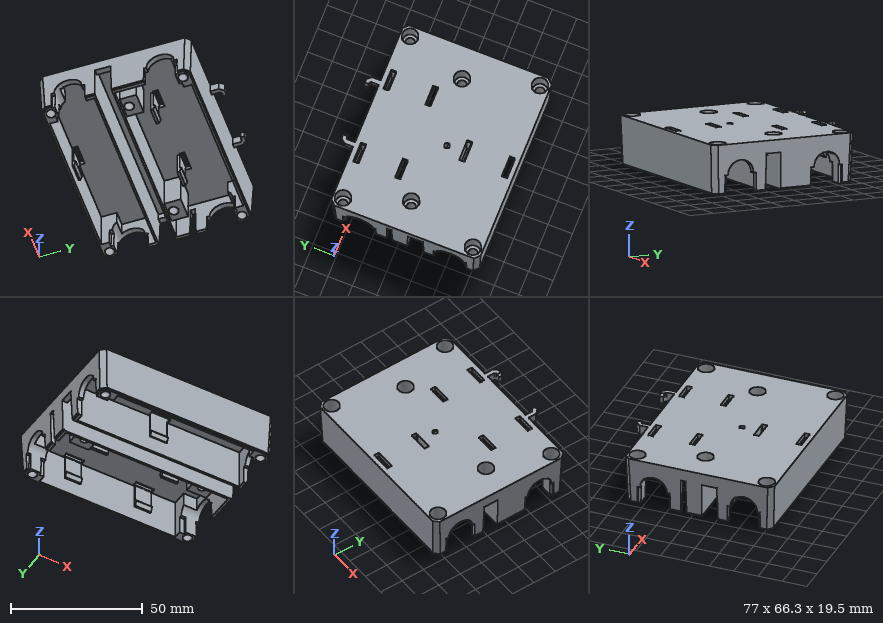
import cadquery as cq
import math

LENGTH = 77.0
WIDTH = 61.0
HEIGHT = 19.5
CORNER_CUT = 2.0
SIDE_DRAFT = 2.0
END_WALL = 1.8
SIDE_WALL = 1.4
PLATE = 2.0
LIP_HEIGHT = 0.5
LIP_STEP = 0.5
RIM_HEIGHT = HEIGHT - LIP_HEIGHT
RIM_INSET = RIM_HEIGHT * math.tan(math.radians(SIDE_DRAFT))
LIP_LENGTH = LENGTH - 2 * (RIM_INSET + LIP_STEP)
LIP_WIDTH = WIDTH - 2 * (RIM_INSET + LIP_STEP)
CAVITY_LENGTH = LENGTH - 2 * (RIM_INSET + END_WALL)
CAVITY_WIDTH = WIDTH - 2 * (RIM_INSET + SIDE_WALL)
CAVITY_TOP = HEIGHT - PLATE

CORNER_HOLE_INSET = 4.0
CORNER_HOLE_X = LENGTH / 2 - CORNER_HOLE_INSET
CORNER_HOLE_Y = WIDTH / 2 - CORNER_HOLE_INSET
MIDDLE_HOLE_X = 26.1
MIDDLE_HOLE_Y = 2.0
MIDDLE_BOSS_BOTTOM = 3.0
BOSS_HALF = 4.3
SCREW_DIAMETER = 3.7
HEAD_DIAMETER = 6.3
HEAD_DEPTH = 8.0

OPENING_DRAFT = math.tan(math.radians(1.0))
CABLE_Y = 18.5
CABLE_RADIUS = 5.5
CABLE_CENTRE_Z = 7.5
CABLE_STEP = 1.15
STEP_DEPTH = 1.0
NECK_END = 6.3
WINDOW_TOP = 14.5
CHANNEL_Y = -4.45
CHANNEL_WIDTH = 6.2
RIB = 1.0
SLIT_Y = 6.25
SLIT_WIDTH = 1.9

SLOT_WIDTH = 2.05
UPPER_SLOT_X = 15.55
UPPER_SLOT_LENGTH = 8.0
UPPER_PAIR_Y = 18.7
LOWER_SLOT_LENGTH = 8.4
LOWER_PAIR_Y = -18.6
LOWER_PAIR_SPACING = 17.4
UPPER_PAIR_SPACING = 17.1
CLIP_SIDE_GAP = 0.5
CLIP_THICKNESS = 1.0
CLIP_BOTTOM = 7.0
BARB_REACH = 0.8
BARB_TOP = 10.0
BARB_TIP_Z = 9.0
WALL_ARM_STEP = 0.45

MARK_X = -0.6
MARK_Y = -2.5
MARK_DIAMETER = 2.1
MARK_DEPTH = 1.5
MARK_EDGE_DEPTH = 0.5

HOOK_REACH = 5.31
HOOK_OUTER_X = 14.2
HOOK_THICKNESS = 2.0
HOOK_TIP_X = 10.1
HOOK_HEIGHT = 4.0
HOOK_CUT_X = 1.5
HOOK_CUT_Y = 1.9
HOOK_INNER_CUT = 0.5
HOOK_TIP_DEPTH = 1.75
HOOK_TIP_BEVEL = 1.0
HOOK_ROOT = 1.0


def box(x_min, x_max, y_min, y_max, z_min, z_max):
    return cq.Workplane("XY").box(
        x_max - x_min, y_max - y_min, z_max - z_min, centered=False
    ).translate((x_min, y_min, z_min))


def cut_corner_outline(length, width, z):
    half_x = length / 2
    half_y = width / 2
    points = [
        (half_x, half_y - CORNER_CUT),
        (half_x - CORNER_CUT, half_y),
        (CORNER_CUT - half_x, half_y),
        (-half_x, half_y - CORNER_CUT),
        (-half_x, CORNER_CUT - half_y),
        (CORNER_CUT - half_x, -half_y),
        (half_x - CORNER_CUT, -half_y),
        (half_x, CORNER_CUT - half_y),
    ]
    return cq.Workplane("XY").workplane(offset=z).polyline(points).close()


def make_envelope():
    rim = cut_corner_outline(LENGTH - 2 * RIM_INSET, WIDTH - 2 * RIM_INSET, LIP_HEIGHT)
    top = cut_corner_outline(LENGTH, WIDTH, HEIGHT)
    body = cq.Workplane(cq.Solid.makeLoft([rim.wire().val(), top.wire().val()], True))
    lip = cut_corner_outline(LIP_LENGTH, LIP_WIDTH, 0).extrude(2 * LIP_HEIGHT)
    return body.union(lip)


def drafted_opening(centre_y, top_width, top_z, x_min, x_max):
    """Opening along X, open at the bottom and slightly wider there."""
    half_top = top_width / 2
    half_bottom = half_top + top_z * OPENING_DRAFT
    profile = [
        (centre_y - half_bottom, 0),
        (centre_y - half_top, top_z),
        (centre_y + half_top, top_z),
        (centre_y + half_bottom, 0),
    ]
    return cq.Workplane("YZ").workplane(offset=x_min).polyline(profile).close().extrude(x_max - x_min)


def cable_opening(centre_y):
    """Round-topped passage with a wider pocket outside and inside its neck."""
    half = LENGTH / 2
    arch = (
        cq.Workplane("YZ").workplane(offset=-half)
        .center(centre_y, CABLE_CENTRE_Z).circle(CABLE_RADIUS).extrude(LENGTH)
    )
    passage = drafted_opening(centre_y, 2 * CABLE_RADIUS, CABLE_CENTRE_Z, -half, half)
    wide = 2 * (CABLE_RADIUS + CABLE_STEP)
    pocket_depth = RIM_INSET + STEP_DEPTH
    opening = arch.union(passage)
    for x_min, x_max in (
        (-half, pocket_depth - half),
        (NECK_END - half, half - NECK_END),
        (half - pocket_depth, half),
    ):
        opening = opening.union(drafted_opening(centre_y, wide, CABLE_CENTRE_Z, x_min, x_max))
    half_wide = box(-half, half, min(0, centre_y), max(0, centre_y), 0, CABLE_CENTRE_Z)
    return opening.union(drafted_opening(centre_y, wide, CABLE_CENTRE_Z, -half, half).intersect(half_wide))


def boss(x, y, bottom):
    return box(x - BOSS_HALF, x + BOSS_HALF, y - BOSS_HALF, y + BOSS_HALF, bottom, HEIGHT)


def make_clip(x, slot_y, slot_length, inward, arm_step):
    """Arm hanging from the outer edge of a slot, with its barb toward the slot."""
    slot_edge_y = slot_y - inward * SLOT_WIDTH / 2
    back_y = slot_edge_y - inward * CLIP_THICKNESS
    front_y = slot_edge_y + inward * arm_step
    tip_y = front_y + inward * BARB_REACH
    width = slot_length - 2 * CLIP_SIDE_GAP
    profile = [
        (back_y, CAVITY_TOP),
        (front_y, CAVITY_TOP),
        (front_y, BARB_TOP),
        (tip_y, BARB_TIP_Z),
        (front_y, CLIP_BOTTOM),
        (back_y, CLIP_BOTTOM),
    ]
    return cq.Workplane("YZ").workplane(offset=x - width / 2).polyline(profile).close().extrude(width)


def make_hook(side):
    back = WIDTH / 2
    tip_y = back + HOOK_REACH
    inner_x = HOOK_OUTER_X - HOOK_THICKNESS
    under_y = tip_y - HOOK_TIP_DEPTH
    points = [
        (HOOK_OUTER_X, back - HOOK_ROOT),
        (HOOK_OUTER_X, tip_y - HOOK_CUT_Y),
        (HOOK_OUTER_X - HOOK_CUT_X, tip_y),
        (HOOK_TIP_X, tip_y),
        (HOOK_TIP_X, under_y),
        (inner_x - HOOK_INNER_CUT, under_y),
        (inner_x, under_y - HOOK_INNER_CUT),
        (inner_x, back - HOOK_ROOT),
    ]
    hook = (
        cq.Workplane("XY").workplane(offset=HEIGHT).polyline(points).close()
        .extrude(-HOOK_HEIGHT, taper=SIDE_DRAFT)
    )
    bevel = (
        cq.Workplane("XZ").workplane(offset=-tip_y)
        .polyline([
            (HOOK_TIP_X, HEIGHT),
            (HOOK_TIP_X + HOOK_TIP_BEVEL, HEIGHT),
            (HOOK_TIP_X, HEIGHT - HOOK_TIP_BEVEL),
        ]).close().extrude(HOOK_TIP_DEPTH)
    )
    hook = hook.cut(bevel)
    if side < 0:
        hook = hook.mirror("YZ")
    return hook


def make_mark():
    half = MARK_DIAMETER / 2
    hole = (
        cq.Workplane("XY").workplane(offset=HEIGHT - MARK_DEPTH)
        .center(MARK_X, MARK_Y).circle(half).extrude(MARK_DEPTH)
    )
    edge_z = HEIGHT - MARK_EDGE_DEPTH
    vee = (
        cq.Workplane("YZ").workplane(offset=MARK_X - half)
        .polyline([
            (MARK_Y - half, HEIGHT),
            (MARK_Y - half, edge_z),
            (MARK_Y, HEIGHT - MARK_DEPTH),
            (MARK_Y + half, edge_z),
            (MARK_Y + half, HEIGHT),
        ]).close().extrude(MARK_DIAMETER)
    )
    return hole.intersect(vee)


corner_holes = [(sx * CORNER_HOLE_X, sy * CORNER_HOLE_Y) for sx in (-1, 1) for sy in (-1, 1)]
middle_holes = [(side * MIDDLE_HOLE_X, MIDDLE_HOLE_Y) for side in (-1, 1)]
slots = []
for direction, upper_step, lower_step in ((-1, WALL_ARM_STEP, 0), (1, 0, WALL_ARM_STEP)):
    upper_y = UPPER_PAIR_Y - direction * UPPER_PAIR_SPACING / 2
    lower_y = LOWER_PAIR_Y - direction * LOWER_PAIR_SPACING / 2
    for slot_x in (-UPPER_SLOT_X, UPPER_SLOT_X):
        slots.append((slot_x, upper_y, UPPER_SLOT_LENGTH, direction, upper_step))
    slots.append((0, lower_y, LOWER_SLOT_LENGTH, direction, lower_step))

envelope = make_envelope()
cavity = cut_corner_outline(CAVITY_LENGTH, CAVITY_WIDTH, 0).extrude(CAVITY_TOP)
shell = envelope.cut(cavity)

inside = boss(*corner_holes[0], 0)
for x, y in corner_holes[1:]:
    inside = inside.union(boss(x, y, 0))
for x, y in middle_holes:
    inside = inside.union(boss(x, y, MIDDLE_BOSS_BOTTOM))
rib_half = CAVITY_LENGTH / 2 + END_WALL / 2
for side in (-1, 1):
    rib_y = CHANNEL_Y + side * (CHANNEL_WIDTH + RIB) / 2
    inside = inside.union(box(-rib_half, rib_half, rib_y - RIB / 2, rib_y + RIB / 2, 0, HEIGHT))
housing = shell.union(inside.intersect(envelope))

for y in (-CABLE_Y, CABLE_Y):
    housing = housing.cut(cable_opening(y))
housing = housing.cut(drafted_opening(CHANNEL_Y, CHANNEL_WIDTH, WINDOW_TOP, -LENGTH / 2, LENGTH / 2))
housing = housing.cut(drafted_opening(SLIT_Y, SLIT_WIDTH, WINDOW_TOP, -LENGTH / 2, -CAVITY_LENGTH / 2))

for x, y, length, direction, arm_step in slots:
    housing = housing.union(make_clip(x, y, length, direction, arm_step))
    housing = housing.cut(
        box(x - length / 2, x + length / 2, y - SLOT_WIDTH / 2, y + SLOT_WIDTH / 2, CAVITY_TOP, HEIGHT)
    )
for side in (-1, 1):
    housing = housing.union(make_hook(side))

housing = (
    housing.faces(">Z").workplane(origin=(0, 0, HEIGHT))
    .pushPoints(corner_holes + middle_holes)
    .cboreHole(SCREW_DIAMETER, HEAD_DIAMETER, HEAD_DEPTH)
)
result = housing.cut(make_mark())